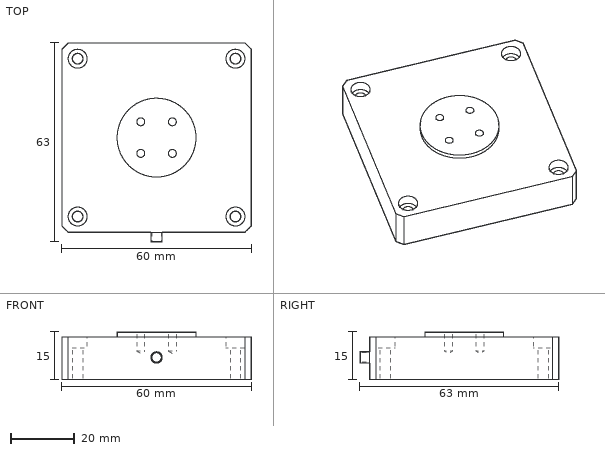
import cadquery as cq
import math

body_side = 60.0
body_height = 13.5
corner_chamfer = 2.0

platform_diameter = 25.0
platform_height = 1.5
top_z = body_height + platform_height

platform_hole_spacing = 10.0
platform_hole_diameter = 2.5
platform_hole_depth = 6.0
drill_point_angle = 118.0

mount_spacing = 50.0
mount_hole_diameter = 3.3
counterbore_diameter = 6.0
counterbore_depth = 3.5

outlet_length = 3.0
outlet_outer_diameter = 3.6
outlet_bore_diameter = 3.0
outlet_z = 7.0


def square_pattern(spacing):
    """Corner points of a square centred on the Z axis."""
    half = spacing / 2
    return [(x, y) for x in (-half, half) for y in (-half, half)]


def make_body():
    block = cq.Workplane("XY").box(body_side, body_side, body_height, centered=(True, True, False))
    return block.edges("|Z").chamfer(corner_chamfer)


def make_platform():
    top_face = cq.Workplane("XY", origin=(0, 0, body_height))
    return top_face.circle(platform_diameter / 2).extrude(platform_height)


def make_outlet():
    """Open-ended tube standing on the -Y face; the body closes its inner end."""
    face = cq.Workplane("XZ", origin=(0, -body_side / 2, outlet_z))
    return face.circle(outlet_outer_diameter / 2).circle(outlet_bore_diameter / 2).extrude(outlet_length)


def cut_mounting_holes(part):
    top_face = cq.Workplane("XY", origin=(0, 0, body_height)).pushPoints(square_pattern(mount_spacing))
    through_holes = top_face.circle(mount_hole_diameter / 2).extrude(-body_height)
    counterbores = top_face.circle(counterbore_diameter / 2).extrude(-counterbore_depth)
    return part.cut(through_holes).cut(counterbores)


def make_drill_cutter():
    """Drill-shaped solid of revolution reaching down from the platform top."""
    radius = platform_hole_diameter / 2
    point_length = radius / math.tan(math.radians(drill_point_angle / 2))
    shoulder_z = top_z - platform_hole_depth
    half_profile = [
        (0, top_z),
        (radius, top_z),
        (radius, shoulder_z),
        (0, shoulder_z - point_length),
    ]
    return cq.Workplane("XZ").polyline(half_profile).close().revolve(360, (0, 0, 0), (0, 1, 0))


def cut_platform_holes(part):
    drill = make_drill_cutter()
    for x, y in square_pattern(platform_hole_spacing):
        part = part.cut(drill.translate((x, y, 0)))
    return part


result = make_body().union(make_platform()).union(make_outlet())
result = cut_mounting_holes(result)
result = cut_platform_holes(result)